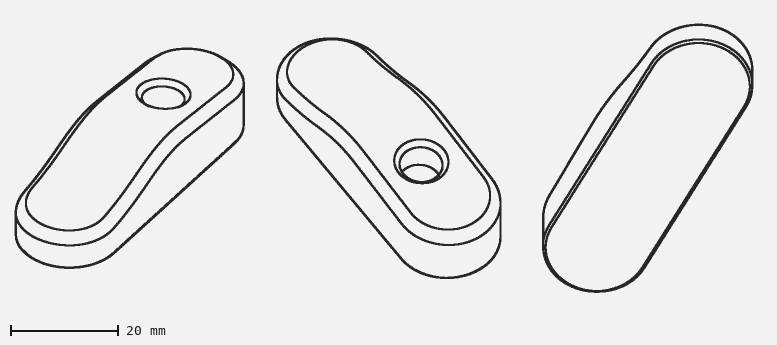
import cadquery as cq
import math

length = 60.0
width = 20.0
top_chamfer = 2.0
bottom_chamfer = 0.5

crest_y = 2.0
crest_z = 14.15
crest_radius = 22.8
shoulder_radius = 36.0
tail_radius = 46.8
ramp_angle = 4.8
shoulder_angle = 11.5
slope_angle = 21.2
slope_end_y = -11.45

hole_diameter = 8.0
countersink_diameter = 10.1
hole_depth = 6.6
hole_y = 11.2

upright_tolerance = 0.01

ramp_slope = math.tan(math.radians(ramp_angle))


def arc_point(center, radius, angle):
    """Point on an arc in the YZ plane; angle is measured from +Z toward -Y."""
    a = math.radians(angle)
    return (center[0] - radius * math.sin(a), center[1] + radius * math.cos(a))


crest_center = (crest_y, crest_z - crest_radius)
ramp_end = arc_point(crest_center, crest_radius, -ramp_angle)
crest_middle = arc_point(crest_center, crest_radius, (shoulder_angle - ramp_angle) / 2)
crest_end = arc_point(crest_center, crest_radius, shoulder_angle)

shoulder_center = arc_point(crest_center, crest_radius - shoulder_radius, shoulder_angle)
shoulder_middle = arc_point(shoulder_center, shoulder_radius, (shoulder_angle + slope_angle) / 2)
shoulder_end = arc_point(shoulder_center, shoulder_radius, slope_angle)

slope_drop = (shoulder_end[0] - slope_end_y) * math.tan(math.radians(slope_angle))
slope_end = (slope_end_y, shoulder_end[1] - slope_drop)

tail_center = arc_point(slope_end, tail_radius, slope_angle)
tail_end_y = -length / 2
tail_end_angle = math.degrees(math.asin((tail_end_y - tail_center[0]) / tail_radius))
tail_middle = arc_point(tail_center, -tail_radius, (slope_angle + tail_end_angle) / 2)
tail_end = arc_point(tail_center, -tail_radius, tail_end_angle)


def ramp_height(y):
    return ramp_end[1] - (y - ramp_end[0]) * ramp_slope


def make_body():
    profile = (
        cq.Workplane("YZ")
        .moveTo(length / 2, 0)
        .lineTo(length / 2, ramp_height(length / 2))
        .lineTo(*ramp_end)
        .threePointArc(crest_middle, crest_end)
        .threePointArc(shoulder_middle, shoulder_end)
        .lineTo(*slope_end)
        .threePointArc(tail_middle, tail_end)
        .lineTo(tail_end_y, 0)
        .close()
        .extrude(width / 2, both=True)
    )
    outline = cq.Workplane("XY").slot2D(length, width, 90).extrude(2 * crest_z)
    body = profile.intersect(outline)
    return body.faces("<Z").chamfer(bottom_chamfer)


def chamfer_top(body):
    """Chamfer the rim shared by the upward faces and the upright walls."""
    upright = set()
    upward = {}
    for face in body.faces().vals():
        normal_z = face.normalAt().z
        for edge in face.Edges():
            if abs(normal_z) < upright_tolerance:
                upright.add(edge.hashCode())
            elif normal_z > upright_tolerance:
                upward[edge.hashCode()] = edge
    rim = [edge for code, edge in upward.items() if code in upright]
    return body.newObject(rim).chamfer(top_chamfer)


def make_hole():
    """Cutter with a 45 degree countersink at the ramp surface."""
    countersink_depth = (countersink_diameter - hole_diameter) / 2
    axis_down = cq.Vector(0, -ramp_slope, -1)
    mouth = cq.Vector(0, hole_y, ramp_height(hole_y))
    bore = cq.Solid.makeCylinder(hole_diameter / 2, hole_depth, mouth, axis_down)
    countersink = cq.Solid.makeCone(
        countersink_diameter / 2, hole_diameter / 2, countersink_depth, mouth, axis_down
    )
    return cq.Workplane(bore).union(cq.Workplane(countersink))


result = chamfer_top(make_body()).cut(make_hole())